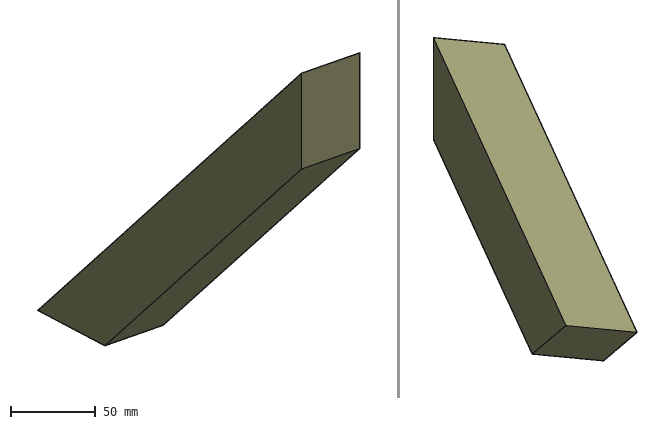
import cadquery as cq
import math

bar_side = 44.45
long_edge = 349.25
slope_angle = math.radians(45)

run = long_edge * math.cos(slope_angle)
rise = long_edge * math.sin(slope_angle)
foot_length = bar_side / math.sin(slope_angle)
head_height = bar_side / math.cos(slope_angle)


def make_brace():
    """Extrude the mitred side outline across the bar, centred on Y = 0."""
    outline = [
        (0, 0),
        (foot_length, 0),
        (run, rise - head_height),
        (run, rise),
    ]
    return cq.Workplane("XZ").polyline(outline).close().extrude(bar_side / 2, both=True)


result = make_brace()